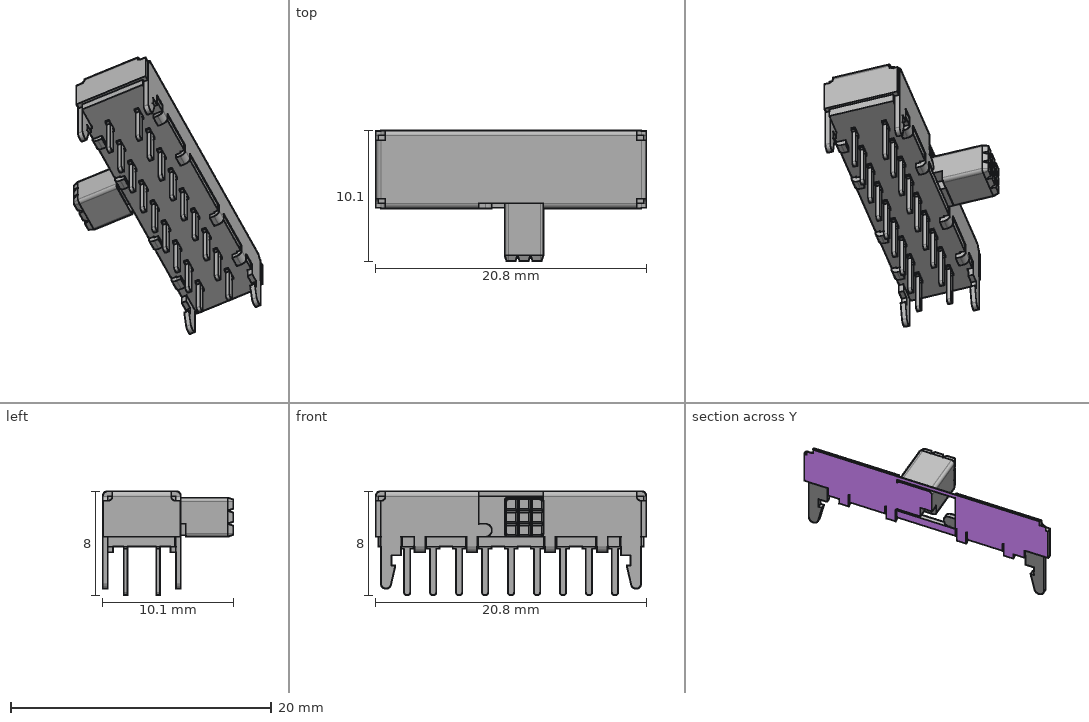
import cadquery as cq
import math


length = 20.8
depth = 6.01
sheet = 0.4
cover_height = 3.52
relief_radius = 0.35
relief_depth = sheet / 2
end_wall_recess = 0.052
wall_half = length / 2 - sheet
depth_half = depth / 2
roll_start_x = wall_half - relief_radius
roll_start_y = depth_half - sheet - relief_radius

base_bottom = -4.26
base_length = 20.4
lip_recess = 0.052
front_clearance = 0.06
lip_gap = 0.08

center_notch_half = 2.6
side_notch = (3.41, 6.6)
end_notch = (7.43, 8.45)
tab_bottom = -4.72
tab_reach = 0.81

leg_step_z = -4.95
leg_neck_x = 9.17
barb_x = 8.88
barb_z = -5.72
leg_bottom = -7.5
leg_tip_radius = sheet

pin_count = 9
pin_pitch = 2.0
row_spacing = 2.5
pin_width = 0.5
pin_thickness = 0.31
pin_bottom = -8.0
pin_tip_radius = 0.23
shoulder_width = 1.0
shoulder_height = 0.19

window_half = 2.48
stop_top = -2.52
stop_radius = (cover_height + stop_top) / 2
slider_x = 1.0
slider_width = 3.0
slider_top = -0.5
slider_height = cover_height + slider_top
slider_reach = 4.04
slider_round = 0.27
grip_count = 3
grip_height = 0.44
grip_bevel = 0.15
clearance_width = 1.0
clearance_depth = 0.37
clearance_lift = 0.1


def span_box(x_span, y_span, z_span):
    """Box between two limits along each axis."""
    spans = (x_span, y_span, z_span)
    sizes = [max(span) - min(span) for span in spans]
    middles = [sum(span) / 2 for span in spans]
    return cq.Workplane("XY").box(*sizes).translate(tuple(middles))


def both_ends(solid):
    """The solid together with its mirror image across the YZ plane."""
    return solid.union(solid.mirror("YZ"))


def make_cover():
    """Solid cover with rolled top edges; the long walls sit inside the end walls."""
    cover = span_box((-length / 2, length / 2), (-depth_half, depth_half), (-cover_height, 0))
    return cover.edges(">Z").fillet(sheet)


def cut_corner_reliefs(cover):
    """Open each top corner and pierce both walls with a round bend relief."""
    for side_x in (-1, 1):
        for side_y in (-1, 1):
            end_x = side_x * length / 2
            end_y = side_y * depth_half
            wall_x = side_x * wall_half
            wall_y = end_y - side_y * sheet
            cover = cover.cut(
                span_box((side_x * roll_start_x, end_x), (side_y * roll_start_y, end_y), (-sheet, 0))
            )
            cover = cover.cut(
                span_box((wall_x, end_x), (wall_y, end_y), (-sheet - relief_radius, 0))
            )
            long_wall_hole = cq.Solid.makeCylinder(
                relief_radius, sheet, cq.Vector(wall_x, wall_y, -sheet), cq.Vector(0, side_y, 0)
            )
            end_wall_hole = cq.Solid.makeCylinder(
                relief_radius,
                relief_depth,
                cq.Vector(end_x - side_x * relief_depth, wall_y, -sheet),
                cq.Vector(side_x, 0, 0),
            )
            cover = cover.cut(cq.Workplane(long_wall_hole)).cut(cq.Workplane(end_wall_hole))
    return cover


def cut_end_wall_edges(cover):
    """Set the vertical edges of the end walls back from the long walls."""
    for side_x in (-1, 1):
        for side_y in (-1, 1):
            end_y = side_y * depth_half
            x_span = (side_x * wall_half, side_x * length / 2)
            y_span = (end_y - side_y * end_wall_recess, end_y)
            cover = cover.cut(span_box(x_span, y_span, (-cover_height, -sheet)))
    return cover


def make_window():
    """Slider window through the front wall, leaving a round-ended stop at its lower left."""
    front = (-depth_half, -depth_half + sheet)
    window = span_box((-window_half, window_half), front, (-cover_height, 0))
    stop_center = -window_half + stop_radius
    stop_z = -cover_height + stop_radius
    stop = span_box((-window_half, stop_center), front, (-cover_height, stop_top)).union(
        cq.Workplane("XZ", origin=(stop_center, front[1], stop_z)).circle(stop_radius).extrude(sheet)
    )
    behind = (front[1], front[1] + front_clearance)
    gap = span_box((-window_half, window_half), behind, (-cover_height, -sheet))
    return window.cut(stop).union(gap)


def make_base():
    """Base plate between the legs, with lips filling the notches of the long walls."""
    inner = depth_half - sheet
    drop = (base_bottom, -cover_height)
    base = span_box((-base_length / 2, base_length / 2), (-inner + front_clearance, inner), drop)
    lip_y = (-depth_half + lip_recess, depth_half - lip_recess)
    center_lip = center_notch_half - lip_gap
    base = base.union(span_box((-center_lip, center_lip), lip_y, drop))
    side_lip = span_box((side_notch[0] + lip_gap, side_notch[1] - lip_gap), lip_y, drop)
    end_lip = span_box((end_notch[0], end_notch[1] - lip_gap), lip_y, drop)
    return base.union(both_ends(side_lip)).union(both_ends(end_lip))


def make_leg(wall_y):
    """Barbed snap-in leg at the +X end, one sheet thick, with its +Y face at wall_y."""
    tip_z = leg_bottom + leg_tip_radius
    tip_x = wall_half - leg_tip_radius
    taper = math.atan2(tip_x - leg_tip_radius - barb_x, barb_z - tip_z)
    return (
        cq.Workplane("XZ", origin=(0, wall_y, 0))
        .moveTo(end_notch[1], -cover_height)
        .lineTo(wall_half, -cover_height)
        .lineTo(wall_half, tip_z)
        .threePointArc(
            (tip_x, leg_bottom),
            (tip_x - leg_tip_radius * math.cos(taper), tip_z - leg_tip_radius * math.sin(taper)),
        )
        .lineTo(barb_x, barb_z)
        .lineTo(leg_neck_x, barb_z)
        .lineTo(leg_neck_x, leg_step_z)
        .lineTo(end_notch[1], leg_step_z)
        .close()
        .extrude(sheet)
    )


def make_tab(x_start, x_end):
    """Front wall tab between two notches, bent inward under the base."""
    bend = base_bottom - tab_bottom
    arc_inset = bend * (1 - math.sqrt(0.5))
    return (
        cq.Workplane("YZ", origin=(x_start, 0, 0))
        .moveTo(-depth_half, -cover_height)
        .lineTo(-depth_half, base_bottom)
        .threePointArc(
            (-depth_half + arc_inset, tab_bottom + arc_inset), (-depth_half + bend, tab_bottom)
        )
        .lineTo(-depth_half + tab_reach, tab_bottom)
        .lineTo(-depth_half + tab_reach, -cover_height)
        .close()
        .extrude(x_end - x_start)
    )


def make_wall_feet():
    """Legs and bent tabs of both long walls."""
    feet = make_leg(-depth_half + sheet).union(make_leg(depth_half))
    for x_start, x_end in ((center_notch_half, side_notch[0]), (side_notch[1], end_notch[0])):
        tab = make_tab(x_start, x_end)
        feet = feet.union(tab).union(tab.mirror("XZ"))
    return both_ends(feet)


def make_pin(x, y):
    """Flat pin with a rounded tip and a wide shoulder under the base."""
    pin = cq.Workplane("XY").box(pin_width, pin_thickness, base_bottom - pin_bottom)
    pin = pin.translate((0, 0, (base_bottom + pin_bottom) / 2))
    pin = pin.edges("|Y and <Z").fillet(pin_tip_radius)
    shoulder = cq.Workplane("XY").box(shoulder_width, pin_thickness, shoulder_height)
    pin = pin.union(shoulder.translate((0, 0, base_bottom - shoulder_height / 2)))
    return pin.translate((x, y, 0))


def make_grip(x, z, y_base):
    """Truncated pyramid on the slider's front face."""
    width = slider_width / grip_count
    height = slider_height / grip_count
    return (
        cq.Workplane("XZ", origin=(x, y_base, z))
        .rect(width, height)
        .workplane(offset=grip_height)
        .rect(width - 2 * grip_bevel, height - 2 * grip_bevel)
        .loft()
    )


def make_grips(y_base):
    """Grid of grips, trimmed by a tapered block so the outer corners stay rounded."""
    left = slider_x - slider_width / 2
    grips = cq.Workplane("XZ")
    for column in range(grip_count):
        for row in range(grip_count):
            x = left + (column + 0.5) * slider_width / grip_count
            z = -cover_height + (row + 0.5) * slider_height / grip_count
            grips = grips.add(make_grip(x, z, y_base))
    outline = cq.Sketch().rect(slider_width, slider_height).vertices().fillet(slider_round)
    rounded_block = (
        cq.Workplane("XZ", origin=(slider_x, y_base, slider_top - slider_height / 2))
        .placeSketch(outline)
        .extrude(grip_height, taper=math.degrees(math.atan2(grip_bevel, grip_height)))
    )
    return grips.combine().intersect(rounded_block)


def make_slider():
    """Slider block with rounded long edges, stop clearance and a grid of grips."""
    y_wall = -depth_half
    y_back = y_wall + sheet + front_clearance
    y_grip = y_wall - slider_reach + grip_height
    left = slider_x - slider_width / 2
    right = left + slider_width
    bottom = slider_top - slider_height
    slider = span_box((left, right), (y_grip, y_back), (bottom, slider_top))
    slider = slider.edges("|Y").fillet(slider_round).union(make_grips(y_grip))
    neck = (y_wall - clearance_depth, y_back)
    slider = slider.cut(span_box((left, left + clearance_width), neck, (bottom, stop_top)))
    return slider.cut(span_box((left, right), neck, (bottom, bottom + clearance_lift)))


result = cut_end_wall_edges(cut_corner_reliefs(make_cover())).cut(make_window())
result = result.union(make_base()).union(make_wall_feet())
for pin_index in range(pin_count):
    pin_x = (pin_index - (pin_count - 1) / 2) * pin_pitch
    for pin_y in (-row_spacing / 2, row_spacing / 2):
        result = result.union(make_pin(pin_x, pin_y))
result = result.union(make_slider())